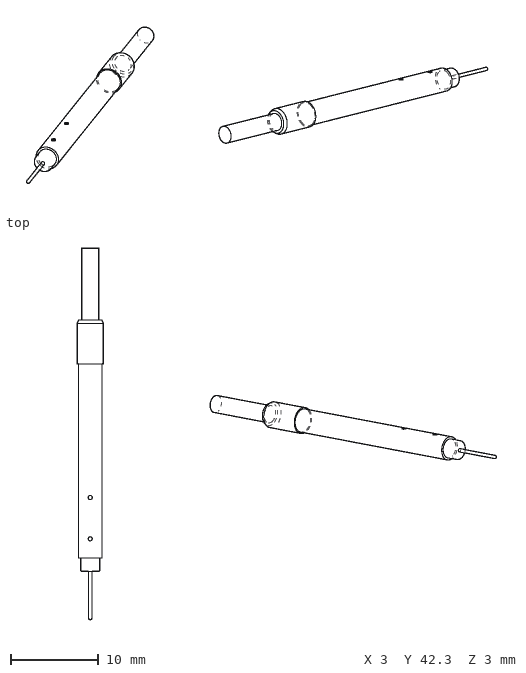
import cadquery as cq

total_length = 42.3

wire_diameter = 0.4
wire_length = 5.5

ferrule_diameter = 2.2
ferrule_length = 1.52
ferrule_edge_radius = 0.15

body_diameter = 2.7

collar_diameter = 3.0
collar_length = 5.0
collar_bevel_length = 0.4
collar_bevel_depth = 0.19

tail_diameter = 2.0
tail_length = 8.15

dimple_diameter = 0.45
dimple_depth = 0.1
dimple_positions = (9.22, 13.9)

ferrule_start = wire_length
body_start = ferrule_start + ferrule_length
tail_start = total_length - tail_length
collar_start = tail_start - collar_length
body_length = collar_start - body_start


def rod(diameter, start, length):
    """Round rod along Y that begins at the given Y position."""
    plane = cq.Workplane("XZ", origin=(0, start, 0))
    return plane.circle(diameter / 2).extrude(-length)


def make_wire():
    """Thin wire with a hemispherical tip."""
    radius = wire_diameter / 2
    tip = cq.Workplane("XY", origin=(0, radius, 0)).sphere(radius)
    return rod(wire_diameter, radius, wire_length - radius).union(tip)


def make_ferrule():
    ferrule = rod(ferrule_diameter, ferrule_start, ferrule_length)
    return ferrule.faces("<Y").fillet(ferrule_edge_radius)


def make_collar():
    """Collar with a bevel on the edge that faces the tail."""
    outer_radius = collar_diameter / 2
    half_section = (
        cq.Workplane("XY")
        .moveTo(0, collar_start)
        .lineTo(outer_radius, collar_start)
        .lineTo(outer_radius, tail_start - collar_bevel_length)
        .lineTo(outer_radius - collar_bevel_depth, tail_start)
        .lineTo(0, tail_start)
        .close()
    )
    return half_section.revolve(360, (0, 0, 0), (0, 1, 0))


def make_body():
    """Main barrel with the crimp dimples cut down from its top."""
    body = rod(body_diameter, body_start, body_length)
    top = cq.Workplane("XY", origin=(0, 0, body_diameter / 2))
    dimples = top.pushPoints([(0, y) for y in dimple_positions])
    return body.cut(dimples.circle(dimple_diameter / 2).extrude(-dimple_depth))


tail = rod(tail_diameter, tail_start, tail_length)

result = make_wire().union(make_ferrule()).union(make_body()).union(make_collar()).union(tail)